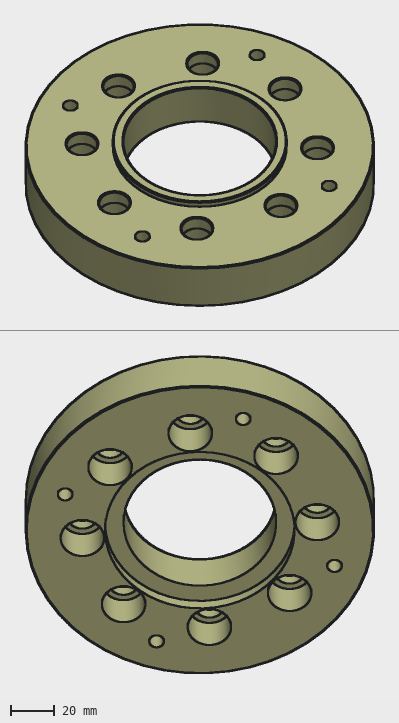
import cadquery as cq

disc_diameter = 160.0
disc_thickness = 25.0
hub_diameter = 80.0
total_height = 28.0
bore_diameter = 70.0
edge_chamfer = 0.5
hub_chamfer = 0.5
bore_chamfer = 0.5
recess_diameter = 87.0
recess_depth = 6.0

bolt_count = 8
bolt_diameter = 14.0
bolt_circle_diameter = 108.2
bolt_start_angle = 22.5
bolt_chamfer = 0.5
counterbore_diameter = 20.0
counterbore_depth = 18.0

pin_count = 4
pin_diameter = 6.7
pin_circle_diameter = 130.0
pin_start_angle = 45.0


def hole_pattern(plane_height, circle_diameter, start_angle, count):
    """Workplane with points evenly spaced on a circle about the Z axis."""
    plane = cq.Workplane("XY").workplane(offset=plane_height)
    return plane.polarArray(circle_diameter / 2, start_angle, 360, count)


def flange_body():
    """Disc with a raised centring hub, both with chamfered rims."""
    disc = cq.Workplane("XY").circle(disc_diameter / 2).extrude(disc_thickness)
    disc = disc.edges().chamfer(edge_chamfer)
    hub = cq.Workplane("XY").circle(hub_diameter / 2).extrude(total_height)
    hub = hub.faces(">Z").edges().chamfer(hub_chamfer)
    return disc.union(hub)


def centre_bore(body):
    """Bore chamfered at the hub, opening into a shallow recess underneath."""
    bored = body.cut(cq.Workplane("XY").circle(bore_diameter / 2).extrude(total_height))
    bore_rim = bored.faces(">Z").edges(cq.selectors.RadiusNthSelector(0))
    bored = bore_rim.chamfer(bore_chamfer)
    recess = cq.Workplane("XY").circle(recess_diameter / 2).extrude(recess_depth)
    return bored.cut(recess)


def bolt_holes(body):
    """Through bolt holes, chamfered on top and counterbored from below."""
    points = (bolt_circle_diameter, bolt_start_angle, bolt_count)
    shanks = hole_pattern(0, *points).circle(bolt_diameter / 2).extrude(disc_thickness)
    heads = hole_pattern(0, *points).circle(counterbore_diameter / 2).extrude(counterbore_depth)
    mouths = (
        hole_pattern(disc_thickness, *points)
        .circle(bolt_diameter / 2 + bolt_chamfer)
        .extrude(-2 * bolt_chamfer, taper=45)
    )
    return body.cut(shanks).cut(heads).cut(mouths)


def pin_holes(body):
    """Small plain through holes outside the bolt circle."""
    pins = hole_pattern(0, pin_circle_diameter, pin_start_angle, pin_count)
    return body.cut(pins.circle(pin_diameter / 2).extrude(disc_thickness))


result = pin_holes(bolt_holes(centre_bore(flange_body())))